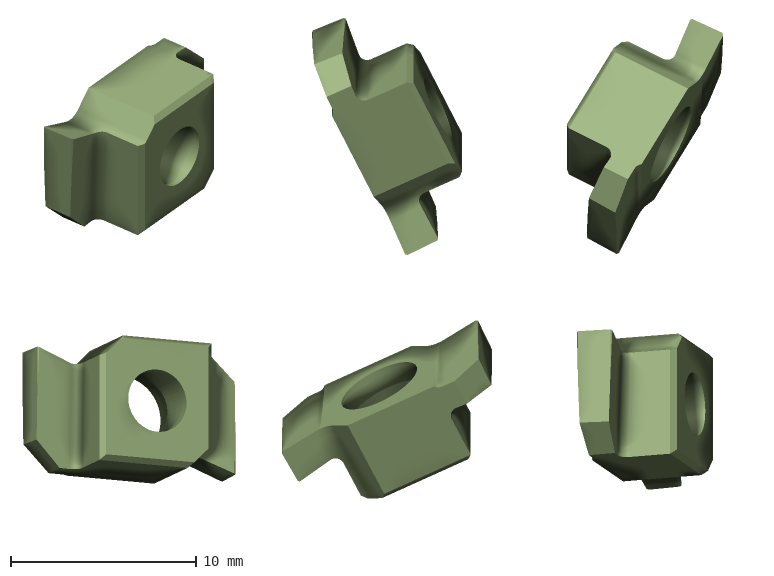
import cadquery as cq
import math


thickness = 4.75
length = 11.8
height = 7.0
half_length = length / 2
half_height = height / 2
margin = 3.54

corner_cut = 1.48
gullet_start = 1.9
rake_angle = 20.0
tip_height = 3.06
gullet_radius = 1.0

body_half_length = 3.3
body_chamfer = 0.28

tab_thickness = 2.02
clearance_angle = 2.0
side_angle = 3.5
root_radius = 0.5
relief_start = 3.69
relief_top = 2.3
nose_chamfer = 0.1
nose_slope = 0.06

hole_diameter = 3.43
seat_diameter = 4.54
seat_depth = 1.16
cone_depth = 1.04


def half_turned(shape):
    return shape.rotate((0, 0, 0), (1, 0, 0), 180)


def make_blank():
    """Side profile extruded through the thickness, with both gullets rounded."""
    rake = math.tan(math.radians(rake_angle))
    gullet_y = (half_height + gullet_start - tip_height + rake * half_length) / (1 + rake)
    gullet_z = half_height + gullet_start - gullet_y
    half_profile = [
        (half_length, half_height - corner_cut),
        (half_length - corner_cut, half_height),
        (-gullet_start, half_height),
        (-gullet_y, gullet_z),
        (-half_length, tip_height),
    ]
    profile = half_profile + [(-y, -z) for y, z in half_profile]
    blank = cq.Workplane("YZ").polyline(profile).close().extrude(thickness)
    gullets = cq.selectors.BoxSelector(
        (-0.12, -gullet_y - 0.12, gullet_z - 0.12), (thickness + 0.12, -gullet_y + 0.12, gullet_z + 0.12)
    ) + cq.selectors.BoxSelector(
        (-0.12, gullet_y - 0.12, -gullet_z - 0.12), (thickness + 0.12, gullet_y + 0.12, -gullet_z + 0.12)
    )
    return blank.edges(gullets).fillet(gullet_radius)


def make_shoulder_cutter():
    """Space beside the inner face of the -Y tab, rounded at the root."""
    far_y = -half_length - margin
    slope = math.tan(math.radians(side_angle))
    root_x = tab_thickness - slope * (half_length - body_half_length)
    far_x = tab_thickness + slope * margin
    outline = [
        (root_x, -body_half_length),
        (far_x, far_y),
        (thickness + margin, far_y),
        (thickness + margin, -body_half_length),
    ]
    cutter = (
        cq.Workplane("XY")
        .workplane(offset=-length)
        .polyline(outline)
        .close()
        .extrude(2 * length)
        .edges(cq.selectors.NearestToPointSelector((root_x, -body_half_length, 0)))
        .fillet(root_radius)
    )
    cutter = cutter.translate((0, 0, tip_height))
    return cutter.rotate((tab_thickness, 0, tip_height), (tab_thickness, 1, tip_height), clearance_angle)


def make_relief_cutter():
    """Leaning clearance on the outer face of the -Y tab, with a rounded run-out."""
    far_y = -half_length - margin
    lean = math.tan(math.radians(clearance_angle))
    slope = lean * (tip_height - relief_top) / (half_length - relief_start)
    corner_y = root_radius - relief_start
    corner_x = -slope * root_radius
    far_x = slope * (-relief_start - far_y)
    outline = [
        (corner_x, corner_y),
        (far_x, far_y),
        (-margin, far_y),
        (-margin, corner_y),
    ]
    cutter = (
        cq.Workplane("XY")
        .workplane(offset=-length)
        .polyline(outline)
        .close()
        .extrude(2 * length)
        .edges(cq.selectors.NearestToPointSelector((corner_x, corner_y, 0)))
        .fillet(root_radius)
        .translate((0, 0, relief_top))
    )
    return cutter.rotate((0, 0, relief_top), (0, 1, relief_top), -clearance_angle)


def make_nose_cutter():
    """Trims the end of the -Y tab to a slight slope with chamfered corners."""
    inner_end = -half_length + nose_slope
    run_out = 2 * nose_chamfer
    outline = [
        (0, -half_length + nose_chamfer),
        (nose_chamfer, -half_length),
        (tab_thickness - nose_chamfer, inner_end),
        (tab_thickness - nose_chamfer + run_out, inner_end + run_out),
        (tab_thickness + margin, inner_end + run_out),
        (tab_thickness + margin, -half_length - margin),
        (0, -half_length - margin),
    ]
    return cq.Workplane("XY").polyline(outline).close().extrude(height, both=True)


def make_chamfer_cutter(edge_distance):
    """Wedge that chamfers the inner (+X) edge of a body side facing -Y."""
    outline = [
        (thickness - body_chamfer, -edge_distance),
        (thickness, -edge_distance + body_chamfer),
        (thickness, -edge_distance),
    ]
    return cq.Workplane("XY").polyline(outline).close().extrude(length, both=True)


def make_hole_cutter():
    """Screw hole with a cylindrical seat and a cone, stepping inwards from the outer face."""
    cone_end = seat_depth + cone_depth
    outline = [
        (0, 0),
        (0, seat_diameter / 2),
        (seat_depth, seat_diameter / 2),
        (cone_end, hole_diameter / 2),
        (thickness, hole_diameter / 2),
        (thickness, 0),
    ]
    return cq.Workplane("XY").polyline(outline).close().revolve(360, (0, 0), (1, 0))


end_chamfer = make_chamfer_cutter(body_half_length)
face_chamfer = make_chamfer_cutter(half_height).rotate((0, 0, 0), (1, 0, 0), 90)

result = make_blank()
for cutter in (
    make_shoulder_cutter(),
    make_relief_cutter(),
    make_nose_cutter(),
    end_chamfer,
    face_chamfer,
):
    result = result.cut(cutter).cut(half_turned(cutter))
result = result.cut(make_hole_cutter())